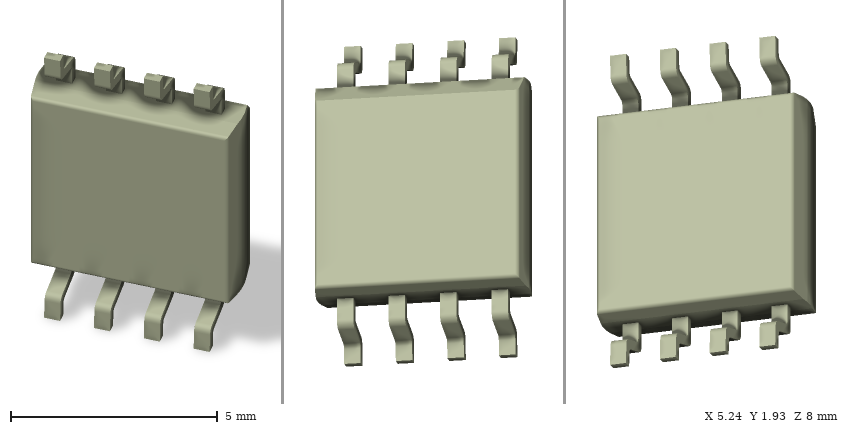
import cadquery as cq
import math

BODY_SIZE = 5.24
BODY_THICKNESS = 1.78
SIDE_BAND = 0.24
END_BAND = 0.67
SIDE_DRAFT = math.radians(8)
END_DRAFT = math.radians(7)
FACE_RADIUS = 0.1
CHAMFER = 0.45

OVERALL_LENGTH = 8.0
LEAD_COUNT = 4
LEAD_PITCH = 1.27
LEAD_WIDTH = 0.41
LEAD_THICKNESS = 0.24
SHOULDER_Z = 3.32
TOE_REACH = 1.04
ARM_SLOPE = math.radians(14)
FOOT_SLOPE = math.radians(4)
INNER_BEND_RADIUS = 0.12
OUTER_BEND_RADIUS = 0.2


def drafted_prism(workplane, band, draft):
    """Outline tapering from its straight band to the two faces, extruded over the body size."""
    half_size = BODY_SIZE / 2
    half_thickness = BODY_THICKNESS / 2
    half_band = band / 2
    half_face = half_size - (half_thickness - half_band) * math.tan(draft)
    return (
        cq.Workplane(workplane)
        .polyline([
            (half_size, half_band),
            (half_face, half_thickness),
            (-half_face, half_thickness),
            (-half_size, half_band),
            (-half_size, -half_band),
            (-half_face, -half_thickness),
            (half_face, -half_thickness),
            (half_size, -half_band),
        ])
        .close()
        .extrude(half_size, both=True)
    )


def make_body():
    """Body rounded along each pair of sides, so the roundings meet in mitred corners."""
    half_size = BODY_SIZE / 2
    half_thickness = BODY_THICKNESS / 2

    across_x = drafted_prism("XY", SIDE_BAND, SIDE_DRAFT)
    across_x = across_x.faces("<Y or >Y").edges("|Z").fillet(FACE_RADIUS)

    end_plane = cq.Plane(origin=(0, 0, 0), xDir=(0, 0, 1), normal=(-1, 0, 0))
    across_z = drafted_prism(end_plane, END_BAND, END_DRAFT)
    across_z = across_z.faces("<Y or >Y").edges("|X").fillet(FACE_RADIUS)

    chamfer_cut = (
        cq.Workplane("YZ")
        .polyline([
            (half_thickness, half_size),
            (half_thickness - CHAMFER, half_size),
            (half_thickness, half_size - CHAMFER),
        ])
        .close()
        .extrude(half_size, both=True)
    )
    return across_x.intersect(across_z).cut(chamfer_cut)


def make_lead():
    """One upper lead at X = 0: straight shank, sloping arm and foot, cut level at the toe."""
    half_lead = LEAD_THICKNESS / 2
    toe_z = OVERALL_LENGTH / 2
    arm_rise = math.tan(ARM_SLOPE)
    foot_lean = math.tan(FOOT_SLOPE)
    arm_height = LEAD_THICKNESS / math.cos(ARM_SLOPE)
    foot_depth = LEAD_THICKNESS / math.cos(FOOT_SLOPE)

    def arm_and_foot_corner(arm_z, toe_y):
        """Meeting point of an arm line (Z at Y = 0) and a foot line (Y at the toe)."""
        y = (toe_y + foot_lean * (toe_z - arm_z)) / (1 - foot_lean * arm_rise)
        return y, arm_z - arm_rise * y

    upper_arm_z = SHOULDER_Z + arm_rise * half_lead
    lower_arm_z = upper_arm_z - arm_height
    heel = arm_and_foot_corner(lower_arm_z, -TOE_REACH)
    instep = arm_and_foot_corner(upper_arm_z, foot_depth - TOE_REACH)
    shoulder = (half_lead, SHOULDER_Z)
    armpit = (-half_lead, lower_arm_z + arm_rise * half_lead)

    lead = (
        cq.Workplane("YZ")
        .polyline([
            (half_lead, 0),
            shoulder,
            instep,
            (foot_depth - TOE_REACH, toe_z),
            (-TOE_REACH, toe_z),
            heel,
            armpit,
            (-half_lead, 0),
        ])
        .close()
        .extrude(LEAD_WIDTH / 2, both=True)
    )
    for corners, radius in (
        ((shoulder, heel), OUTER_BEND_RADIUS),
        ((armpit, instep), INNER_BEND_RADIUS),
    ):
        for y, z in corners:
            lead = lead.edges(cq.selectors.NearestToPointSelector((0, y, z))).fillet(radius)
    return lead


result = make_body()
upper_lead = make_lead()
lower_lead = upper_lead.mirror("XY")
for index in range(LEAD_COUNT):
    lead_x = (index - (LEAD_COUNT - 1) / 2) * LEAD_PITCH
    for lead in (upper_lead, lower_lead):
        result = result.union(lead.translate((lead_x, 0, 0)))